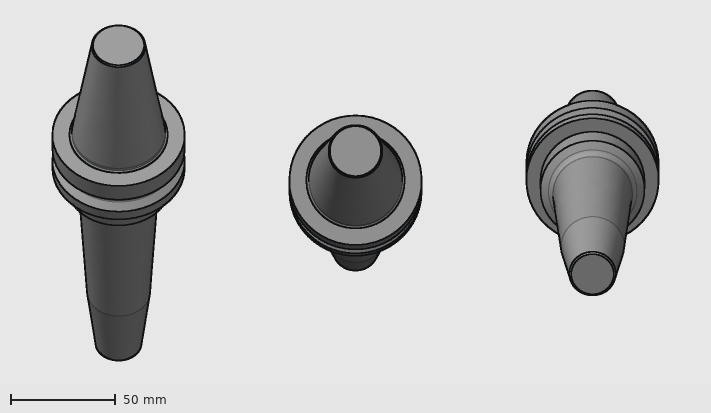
import cadquery as cq
import math

TOTAL_HEIGHT = 225.5

TIP_RADIUS = 11.0
TIP_CHAMFER = 1.0
NOSE_JOINT_RADIUS = 15.0
NOSE_JOINT_Z = 39.7
NOSE_TOP_RADIUS = 19.0
NOSE_TOP_Z = 114.0

SHOULDER_FILLET = 4.3
SHOULDER_ANGLE = 60.0

COLLAR_RADIUS = 24.8

FLANGE_RADIUS = 31.5
FLANGE_BOTTOM_Z = 132.8
FLANGE_TOP_Z = 158.0
LOWER_RIM_HEIGHT = 5.9
UPPER_RIM_HEIGHT = 10.4
GROOVE_RADIUS = 27.0
GROOVE_FLANK_HEIGHT = 2.5
GROOVE_FILLET = 0.7

RELIEF_RADIUS = 23.5
RELIEF_DEPTH = 0.2
RELIEF_FLOOR_Z = FLANGE_TOP_Z - RELIEF_DEPTH

SHANK_RADIUS = 22.3
SHANK_TAPER_Z = 160.0
SHANK_FOOT_FILLET = 0.7
SHANK_TOP_RADIUS = 12.8
SHANK_TOP_CHAMFER = 0.7


def shoulder_arc_point(turn):
    """Return (radius, Z) on the shoulder fillet after turning from vertical by `turn` degrees."""
    angle = math.radians(turn)
    radius = NOSE_TOP_RADIUS + SHOULDER_FILLET * (1 - math.cos(angle))
    z = NOSE_TOP_Z + SHOULDER_FILLET * math.sin(angle)
    return radius, z


def make_nose_and_collar():
    """Revolve the tapered nose, the shoulder and the collar above it."""
    arc_end = shoulder_arc_point(SHOULDER_ANGLE)
    cone_height = (COLLAR_RADIUS - arc_end[0]) / math.tan(math.radians(SHOULDER_ANGLE))
    return (
        cq.Workplane("XZ")
        .lineTo(TIP_RADIUS - TIP_CHAMFER, 0)
        .lineTo(TIP_RADIUS, TIP_CHAMFER)
        .lineTo(NOSE_JOINT_RADIUS, NOSE_JOINT_Z)
        .lineTo(NOSE_TOP_RADIUS, NOSE_TOP_Z)
        .threePointArc(shoulder_arc_point(SHOULDER_ANGLE / 2), arc_end)
        .lineTo(COLLAR_RADIUS, arc_end[1] + cone_height)
        .lineTo(COLLAR_RADIUS, FLANGE_BOTTOM_Z)
        .lineTo(0, FLANGE_BOTTOM_Z)
        .close()
        .revolve()
    )


def make_flange():
    """Revolve the flange with its top relief, and round the bottom corners of its gripper groove."""
    lower_rim_top_z = FLANGE_BOTTOM_Z + LOWER_RIM_HEIGHT
    upper_rim_bottom_z = FLANGE_TOP_Z - UPPER_RIM_HEIGHT
    groove_bottom_z = lower_rim_top_z + GROOVE_FLANK_HEIGHT
    groove_top_z = upper_rim_bottom_z - GROOVE_FLANK_HEIGHT
    flange = (
        cq.Workplane("XZ")
        .moveTo(0, FLANGE_BOTTOM_Z)
        .lineTo(FLANGE_RADIUS, FLANGE_BOTTOM_Z)
        .lineTo(FLANGE_RADIUS, lower_rim_top_z)
        .lineTo(GROOVE_RADIUS, groove_bottom_z)
        .lineTo(GROOVE_RADIUS, groove_top_z)
        .lineTo(FLANGE_RADIUS, upper_rim_bottom_z)
        .lineTo(FLANGE_RADIUS, FLANGE_TOP_Z)
        .lineTo(RELIEF_RADIUS, FLANGE_TOP_Z)
        .lineTo(RELIEF_RADIUS, RELIEF_FLOOR_Z)
        .lineTo(0, RELIEF_FLOOR_Z)
        .close()
        .revolve()
    )
    groove_corners = cq.selectors.BoxSelector(
        (-FLANGE_RADIUS, -FLANGE_RADIUS, lower_rim_top_z + GROOVE_FLANK_HEIGHT / 2),
        (FLANGE_RADIUS, FLANGE_RADIUS, upper_rim_bottom_z - GROOVE_FLANK_HEIGHT / 2),
    )
    return flange.edges("%CIRCLE").edges(groove_corners).fillet(GROOVE_FILLET)


def make_shank():
    """Revolve the tapered shank with its filleted cylindrical foot."""
    foot_radius = SHANK_RADIUS + SHANK_FOOT_FILLET
    return (
        cq.Workplane("XZ")
        .moveTo(0, RELIEF_FLOOR_Z)
        .lineTo(foot_radius, RELIEF_FLOOR_Z)
        .radiusArc((SHANK_RADIUS, RELIEF_FLOOR_Z + SHANK_FOOT_FILLET), SHANK_FOOT_FILLET)
        .lineTo(SHANK_RADIUS, SHANK_TAPER_Z)
        .lineTo(SHANK_TOP_RADIUS, TOTAL_HEIGHT - SHANK_TOP_CHAMFER)
        .lineTo(SHANK_TOP_RADIUS - SHANK_TOP_CHAMFER, TOTAL_HEIGHT)
        .lineTo(0, TOTAL_HEIGHT)
        .close()
        .revolve()
    )


result = make_nose_and_collar().union(make_flange()).union(make_shank())